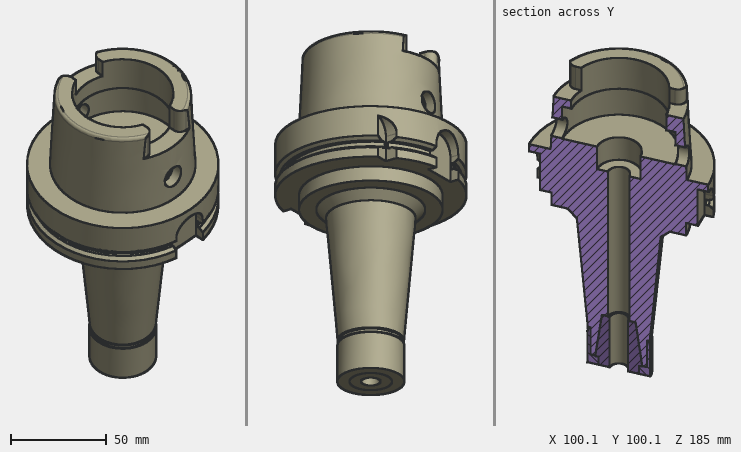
import cadquery as cq

TOTAL_HEIGHT = 185.0
SHANK_LENGTH = 49.8
FLANGE_TOP = TOTAL_HEIGHT - SHANK_LENGTH
FLANGE_HEIGHT = 28.9
FLANGE_BOTTOM = FLANGE_TOP - FLANGE_HEIGHT
COLLAR_HEIGHT = 8.1
COLLAR_BOTTOM = FLANGE_BOTTOM - COLLAR_HEIGHT
NECK_HEIGHT = 5.0
NECK_BOTTOM = COLLAR_BOTTOM - NECK_HEIGHT

SHANK_BASE_RADIUS = 38.1
SHANK_TIP_RADIUS = 35.7
SHANK_TIP_FILLET = 1.8
MOUTH_RADIUS = 26.5
MOUTH_DEPTH = 20.4
CHAMBER_RADIUS = 31.5
CHAMBER_DEPTH = 41.3
CROSS_HOLE_DIAMETER = 12.0
CROSS_HOLE_DROP = 35.0

DRIVE_SLOT_WIDTH = 19.8
DRIVE_SLOT_CORNER = 4.5
DRIVE_LUG_REACH = 32.2
DRIVE_SLOT_DEPTHS = {-1: 10.0, 1: 14.8}

FLANGE_RADIUS = 50.05
GROOVE_FLOOR_RADIUS = 45.9
GROOVE_DROP = 20.2
GROOVE_FLOOR_WIDTH = 3.3
GROOVE_MOUTH_WIDTH = 6.7
GROOVE_BEVEL = 2.4
KEYWAY_WIDTH = 19.6
KEYWAY_DEPTH_FROM_TOP = 5.0
KEYWAY_FLOOR = 44.0
NOTCH_CENTRE_Y = 41.3
NOTCH_FLOOR = 32.0

COLLAR_RADIUS = 37.5
NECK_TOP_RADIUS = 28.5
EXTENSION_TOP_RADIUS = 23.5
EXTENSION_TIP_RADIUS = 17.4

NUT_RADIUS = 17.5
NUT_HEIGHT = 22.8
NUT_RIM_REDUCTION = 0.2
NUT_RIM_HEIGHT = 1.8
NUT_RIM_CHAMFER = 0.4
NUT_LIP_HEIGHT = 5.5
NUT_GAP = 0.5
EXTENSION_TIP = NUT_HEIGHT + NUT_GAP
SPIGOT_RADIUS = 16.0

COLLET_LENGTH = 33.3
COLLET_NOSE_RADIUS = 11.1
COLLET_BASE_RADIUS = 13.0
COLLET_TOP_RADIUS = 9.2
COLLET_BORE_RADIUS = 5.09

SCREW_BORE_RADIUS = 12.0
SCREW_BORE_DEPTH = 14.8
COOLANT_RADIUS = 6.0


def cylinder(radius, bottom, top):
    return cq.Workplane("XY").workplane(offset=bottom).circle(radius).extrude(top - bottom)


def collet_taper():
    return (
        cq.Workplane("XZ")
        .moveTo(0, NUT_LIP_HEIGHT)
        .lineTo(COLLET_BASE_RADIUS, NUT_LIP_HEIGHT)
        .lineTo(COLLET_TOP_RADIUS, COLLET_LENGTH)
        .lineTo(0, COLLET_LENGTH)
        .close()
        .revolve(360, (0, 0), (0, 1))
    )


def holder_blank():
    """Outside shape of the holder, turned about Z."""
    groove = FLANGE_TOP - GROOVE_DROP
    bevel_radius = FLANGE_RADIUS - GROOVE_BEVEL
    half_mouth = GROOVE_MOUTH_WIDTH / 2
    half_floor = GROOVE_FLOOR_WIDTH / 2
    return (
        cq.Workplane("XZ")
        .moveTo(0, NUT_LIP_HEIGHT)
        .lineTo(SPIGOT_RADIUS, NUT_LIP_HEIGHT)
        .lineTo(SPIGOT_RADIUS, EXTENSION_TIP)
        .lineTo(EXTENSION_TIP_RADIUS, EXTENSION_TIP)
        .lineTo(EXTENSION_TOP_RADIUS, NECK_BOTTOM)
        .lineTo(NECK_TOP_RADIUS, COLLAR_BOTTOM)
        .lineTo(COLLAR_RADIUS, COLLAR_BOTTOM)
        .lineTo(COLLAR_RADIUS, FLANGE_BOTTOM)
        .lineTo(FLANGE_RADIUS, FLANGE_BOTTOM)
        .lineTo(FLANGE_RADIUS, groove - half_mouth)
        .lineTo(bevel_radius, groove - half_floor)
        .lineTo(GROOVE_FLOOR_RADIUS, groove - half_floor)
        .lineTo(GROOVE_FLOOR_RADIUS, groove + half_floor)
        .lineTo(bevel_radius, groove + half_floor)
        .lineTo(FLANGE_RADIUS, groove + half_mouth)
        .lineTo(FLANGE_RADIUS, FLANGE_TOP)
        .lineTo(SHANK_BASE_RADIUS, FLANGE_TOP)
        .lineTo(SHANK_TIP_RADIUS, TOTAL_HEIGHT)
        .lineTo(0, TOTAL_HEIGHT)
        .close()
        .revolve(360, (0, 0), (0, 1))
        .faces(">Z")
        .edges()
        .fillet(SHANK_TIP_FILLET)
    )


def drive_slot(side, depth):
    """Cutter for one drive slot: a parallel slot that opens out, round a corner, past the lugs."""
    floor = TOTAL_HEIGHT - depth
    half = DRIVE_SLOT_WIDTH / 2
    corner = DRIVE_SLOT_CORNER
    reach = DRIVE_LUG_REACH
    outer = FLANGE_RADIUS
    return (
        cq.Workplane("XY")
        .workplane(offset=floor)
        .moveTo(0, -half)
        .lineTo(side * (reach - corner), -half)
        .radiusArc((side * reach, -half - corner), side * corner)
        .lineTo(side * reach, -outer)
        .lineTo(side * outer, -outer)
        .lineTo(side * outer, outer)
        .lineTo(side * reach, outer)
        .lineTo(side * reach, half + corner)
        .radiusArc((side * (reach - corner), half), side * corner)
        .lineTo(0, half)
        .close()
        .extrude(depth)
    )


def keyway(side, centre_y, floor):
    """Cutter for a round-topped keyway, open at the flange bottom, with a flat floor facing along X."""
    half = KEYWAY_WIDTH / 2
    crown = FLANGE_TOP - KEYWAY_DEPTH_FROM_TOP
    return (
        cq.Workplane("YZ")
        .workplane(offset=side * floor)
        .moveTo(centre_y - half, FLANGE_BOTTOM)
        .lineTo(centre_y - half, crown - half)
        .threePointArc((centre_y, crown), (centre_y + half, crown - half))
        .lineTo(centre_y + half, FLANGE_BOTTOM)
        .close()
        .extrude(side * FLANGE_RADIUS)
    )


def make_holder():
    holder = holder_blank()
    chamber_top = TOTAL_HEIGHT - MOUTH_DEPTH
    chamber_floor = TOTAL_HEIGHT - CHAMBER_DEPTH
    screw_floor = chamber_floor - SCREW_BORE_DEPTH
    holder = holder.cut(cylinder(MOUTH_RADIUS, chamber_top, TOTAL_HEIGHT))
    holder = holder.cut(cylinder(CHAMBER_RADIUS, chamber_floor, chamber_top))
    holder = holder.cut(cylinder(SCREW_BORE_RADIUS, screw_floor, chamber_floor))
    holder = holder.cut(cylinder(COOLANT_RADIUS, COLLET_LENGTH, screw_floor))
    holder = holder.cut(collet_taper())
    cross_hole = (
        cq.Workplane("YZ")
        .center(0, TOTAL_HEIGHT - CROSS_HOLE_DROP)
        .circle(CROSS_HOLE_DIAMETER / 2)
        .extrude(FLANGE_RADIUS, both=True)
    )
    holder = holder.cut(cross_hole)
    for side, depth in DRIVE_SLOT_DEPTHS.items():
        holder = holder.cut(drive_slot(side, depth))
        holder = holder.cut(keyway(side, 0, KEYWAY_FLOOR))
    return holder.cut(keyway(-1, NOTCH_CENTRE_Y, NOTCH_FLOOR))


def make_nut():
    rim_radius = NUT_RADIUS - NUT_RIM_REDUCTION
    rim_bottom = NUT_HEIGHT - NUT_RIM_HEIGHT
    return (
        cq.Workplane("XZ")
        .moveTo(COLLET_NOSE_RADIUS, 0)
        .lineTo(NUT_RADIUS, 0)
        .lineTo(NUT_RADIUS, rim_bottom - NUT_RIM_CHAMFER)
        .lineTo(rim_radius, rim_bottom)
        .lineTo(rim_radius, NUT_HEIGHT)
        .lineTo(SPIGOT_RADIUS, NUT_HEIGHT)
        .lineTo(SPIGOT_RADIUS, NUT_LIP_HEIGHT)
        .lineTo(COLLET_NOSE_RADIUS, NUT_LIP_HEIGHT)
        .close()
        .revolve(360, (0, 0), (0, 1))
    )


def make_collet():
    nose = cylinder(COLLET_NOSE_RADIUS, 0, NUT_LIP_HEIGHT)
    return collet_taper().union(nose).cut(cylinder(COLLET_BORE_RADIUS, 0, COLLET_LENGTH))


bodies = [make_holder(), make_nut(), make_collet()]
result = cq.Compound.makeCompound([body.solids().val() for body in bodies])